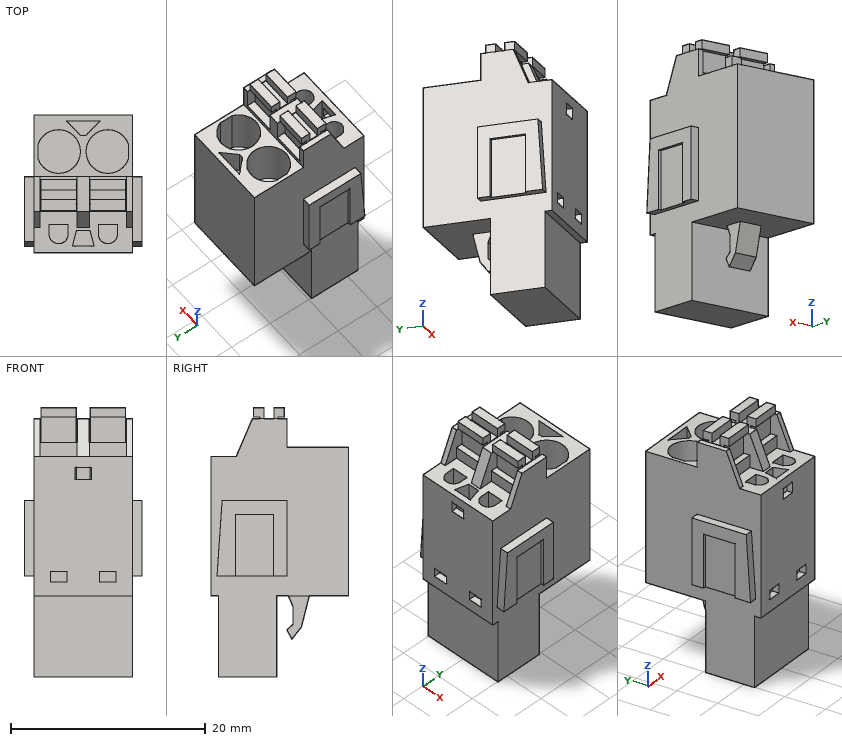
import cadquery as cq

body_width = 10.15
body_depth = 14.2
body_bottom = 8.35
front_deck = 22.7
rear_deck = 23.68
pole_spacing = 5.07
pole_centres = (-pole_spacing / 2, pole_spacing / 2)

guard_top = 26.6
guard_rear = 7.85
guard_front_at_top = 4.27
guard_front_at_deck = 2.6

slot_width = 3.8
ledge_top = 24.15

total_height = 27.73
lever_width = 3.65
stem_rear = 6.93
stem_front = 5.02
lip_overhang = 0.65
lip_bottom = 26.75
channel_rear = 6.5
channel_front = 5.5
channel_floor = guard_top

plug_front = 0.78
plug_rear = 6.8

wing_thickness = 0.985
wing_bottom = 10.4
wing_top = 18.2
wing_front_at_bottom = 0.65
wing_front_at_top = 1.16
recess_front = 2.55
recess_rear = 6.43
recess_top = 16.72
recess_depth = 0.35

well_radius = 2.25
well_centre_y = 10.43
well_flat_x = 4.65
well_depth = 5.55

notch_rear = 13.6
notch_front = 12.05
notch_rear_half_width = 1.75
notch_front_half_width = 0.25
notch_depth = 2.77

socket_width = 1.97
socket_rear = 2.9
socket_front = 0.95
socket_depth = 5.55

pocket_rear = 2.3
pocket_front = 0.7
pocket_depth = 3.88
pocket_rear_half_width = 0.7
pocket_front_half_width = 1.123

window_width = 1.72
pocket_window_bottom = 20.35
pocket_window_top = 21.57
blind_window_bottom = 9.75
blind_window_top = 10.85
blind_window_depth = 0.8

hook_width = 2.77
hook_root_rear = 10.15
hook_root_front = 8.0
hook_bend_y = 9.35
hook_bend_z = 5.15
hook_end_y = 8.35
hook_end_z = 3.88
hook_point_y = 7.82
hook_point_z = 4.85
hook_inner_y = 8.45
hook_inner_bottom = 5.44
hook_inner_top = 7.25


def box(x_min, x_max, y_min, y_max, z_min, z_max):
    """Axis-aligned block between the given limits."""
    return cq.Workplane("XY").box(
        x_max - x_min, y_max - y_min, z_max - z_min, centered=False
    ).translate((x_min, y_min, z_min))


def centred_box(x_centre, width, y_min, y_max, z_min, z_max):
    """Block of the given width about x_centre."""
    return box(x_centre - width / 2, x_centre + width / 2, y_min, y_max, z_min, z_max)


def side_profile(points, x_start, width):
    """Extrude a closed (y, z) outline along +X from x_start."""
    return cq.Workplane("YZ", origin=(x_start, 0, 0)).polyline(points).close().extrude(width)


def make_block():
    """Main block with the stepped deck and the guard ridge on top."""
    outline = [
        (0, body_bottom),
        (body_depth, body_bottom),
        (body_depth, rear_deck),
        (guard_rear, rear_deck),
        (guard_rear, guard_top),
        (guard_front_at_top, guard_top),
        (guard_front_at_deck, front_deck),
        (0, front_deck),
    ]
    return side_profile(outline, -body_width / 2, body_width)


def make_plug():
    """Narrower block that hangs below the housing."""
    return centred_box(0, body_width, plug_front, plug_rear, 0, body_bottom)


def make_wing():
    """Wing on the -X side, with a shallow recess that is open at the bottom."""
    outline = [
        (wing_front_at_bottom, wing_bottom),
        (guard_rear, wing_bottom),
        (guard_rear, wing_top),
        (wing_front_at_top, wing_top),
    ]
    outer_x = -body_width / 2 - wing_thickness
    wing = side_profile(outline, outer_x, wing_thickness)
    recess = box(outer_x, outer_x + recess_depth, recess_front, recess_rear, wing_bottom, recess_top)
    return wing.cut(recess)


def make_hook():
    """Latch hook with its tip bent towards the plug."""
    outline = [
        (hook_root_rear, body_bottom),
        (hook_bend_y, hook_bend_z),
        (hook_end_y, hook_end_z),
        (hook_point_y, hook_point_z),
        (hook_inner_y, hook_inner_bottom),
        (hook_inner_y, hook_inner_top),
        (hook_root_front, body_bottom),
    ]
    return side_profile(outline, -hook_width / 2, hook_width)


def make_lever_slot(x_centre):
    """Space between two guard walls, above the ledge and in front of it."""
    above_ledge = centred_box(x_centre, slot_width, guard_front_at_top, guard_rear, ledge_top, guard_top)
    before_ledge = centred_box(x_centre, slot_width, 0, guard_front_at_top, front_deck, guard_top)
    return above_ledge.union(before_ledge)


def make_well(x_centre):
    """Round well, cut flat near the outer side of the housing."""
    bottom = rear_deck - well_depth
    well = cq.Workplane("XY", origin=(x_centre, well_centre_y, bottom)).circle(well_radius).extrude(well_depth)
    return well.intersect(centred_box(0, 2 * well_flat_x, 0, body_depth, bottom, rear_deck))


def make_tapered_hole(rear, front, rear_half_width, front_half_width, bottom, top):
    """Hole with a symmetric trapezoid outline."""
    outline = [
        (-rear_half_width, rear),
        (rear_half_width, rear),
        (front_half_width, front),
        (-front_half_width, front),
    ]
    return cq.Workplane("XY", origin=(0, 0, bottom)).polyline(outline).close().extrude(top - bottom)


def make_socket(x_centre):
    """D-shaped socket with its round side to the front."""
    radius = socket_width / 2
    return (
        cq.Workplane("XY", origin=(x_centre, 0, front_deck - socket_depth))
        .moveTo(-radius, socket_rear)
        .lineTo(-radius, socket_front + radius)
        .threePointArc((0, socket_front), (radius, socket_front + radius))
        .lineTo(radius, socket_rear)
        .close()
        .extrude(socket_depth)
    )


def make_blind_window(x_centre):
    """Shallow rectangular recess in the front face."""
    return centred_box(
        x_centre, window_width, 0, blind_window_depth, blind_window_bottom, blind_window_top
    )


def make_pocket():
    """Tapered pocket in the front deck, with its window."""
    pocket = make_tapered_hole(
        pocket_rear, pocket_front, pocket_rear_half_width, pocket_front_half_width,
        front_deck - pocket_depth, front_deck,
    )
    window = centred_box(0, window_width, 0, pocket_front, pocket_window_bottom, pocket_window_top)
    return pocket.union(window)


def make_housing():
    """Complete housing with plug, wings, hook and openings."""
    wing = make_wing()
    housing = make_block().union(make_plug()).union(make_hook())
    housing = housing.union(wing).union(wing.mirror("YZ"))
    for x_centre in pole_centres:
        housing = housing.cut(make_lever_slot(x_centre))
        housing = housing.cut(make_well(x_centre))
        housing = housing.cut(make_socket(x_centre))
        housing = housing.cut(make_blind_window(x_centre))
    notch = make_tapered_hole(
        notch_rear, notch_front, notch_rear_half_width, notch_front_half_width,
        rear_deck - notch_depth, rear_deck,
    )
    return housing.cut(notch).cut(make_pocket())


def make_lever(x_centre):
    """Lever with a stem and two outward lips separated by a channel."""
    stem = centred_box(x_centre, lever_width, stem_front, stem_rear, ledge_top, total_height)
    lips = centred_box(
        x_centre, lever_width, stem_front - lip_overhang, stem_rear + lip_overhang, lip_bottom, total_height
    )
    channel = centred_box(x_centre, lever_width, channel_front, channel_rear, channel_floor, total_height)
    return stem.union(lips).cut(channel)


housing = make_housing()
levers = [make_lever(x_centre) for x_centre in pole_centres]

result = cq.Compound.makeCompound([housing.val(), *[lever.val() for lever in levers]])